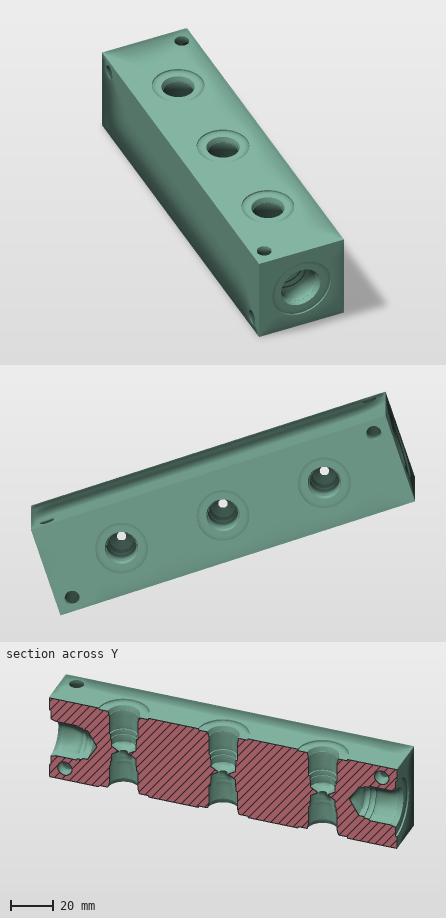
import cadquery as cq
import math

LENGTH = 177.8
SIDE = 44.5

MOUNT_DIAMETER = 7.1
MOUNT_END_DISTANCE = 8.0
MOUNT_EDGE_DISTANCE = 6.4

DRILL_POINT_ANGLE = 118.0
SPOTFACE_DEPTH = 0.78
SEAT_DEPTH = 2.5

PORT_COUNT = 3
PORT_PITCH = 50.9
SIDE_SPOTFACE = 25.0
SIDE_SEAT_TOP = 15.8
SIDE_SEAT_BOTTOM = 14.5
SIDE_THREAD = 14.2
SIDE_TAP_DRILL = 13.0
SIDE_BORE = 12.3
SIDE_THREAD_DEPTH = 13.3
SIDE_TAP_DEPTH = 16.0
PASSAGE_DIAMETER = 4.5

END_SPOTFACE = 30.5
END_SEAT_TOP = 20.6
END_SEAT_BOTTOM = 19.2
END_THREAD = 19.0
END_TAP_DRILL = 17.5
END_BORE = 15.8
END_THREAD_DEPTH = 14.2
END_TAP_DEPTH = 16.9
END_BORE_DEPTH = 19.5


def point_height(diameter):
    """Height of a drill point of the given diameter."""
    return diameter / 2 / math.tan(math.radians(DRILL_POINT_ANGLE / 2))


def port_cutter(spotface, seat_top, seat_bottom, thread, tap_drill, bore,
                thread_depth, tap_depth, bore_depth):
    """Stepped port opening at Z = 0 and reaching down to a pointed bottom."""
    seat_end = SPOTFACE_DEPTH + SEAT_DEPTH
    profile = [
        (0, 0),
        (spotface / 2, 0),
        (spotface / 2, -SPOTFACE_DEPTH),
        (seat_top / 2, -SPOTFACE_DEPTH),
        (seat_bottom / 2, -seat_end),
        (thread / 2, -seat_end),
        (thread / 2, -thread_depth),
        (tap_drill / 2, -thread_depth),
        (tap_drill / 2, -tap_depth),
        (bore / 2, -tap_depth),
        (bore / 2, -bore_depth),
        (0, -bore_depth - point_height(bore)),
    ]
    return cq.Workplane("XZ").polyline(profile).close().revolve(360, (0, 0), (0, 1))


def cut_side_ports(body):
    """Opposed ports whose drill points overlap at mid-height."""
    bore_depth = SIDE / 2 + point_height(PASSAGE_DIAMETER) - point_height(SIDE_BORE)
    cutter = port_cutter(SIDE_SPOTFACE, SIDE_SEAT_TOP, SIDE_SEAT_BOTTOM, SIDE_THREAD,
                         SIDE_TAP_DRILL, SIDE_BORE, SIDE_THREAD_DEPTH, SIDE_TAP_DEPTH,
                         bore_depth)
    upper = cutter.translate((0, 0, SIDE / 2))
    lower = upper.mirror("XY")
    for index in range(PORT_COUNT):
        x = (index - (PORT_COUNT - 1) / 2) * PORT_PITCH
        body = body.cut(upper.translate((x, 0, 0)))
        body = body.cut(lower.translate((x, 0, 0)))
    return body


def cut_end_ports(body):
    """Matching blind ports in the two ends of the bar."""
    cutter = port_cutter(END_SPOTFACE, END_SEAT_TOP, END_SEAT_BOTTOM, END_THREAD,
                         END_TAP_DRILL, END_BORE, END_THREAD_DEPTH, END_TAP_DEPTH,
                         END_BORE_DEPTH)
    right = cutter.rotate((0, 0, 0), (0, 1, 0), 90).translate((LENGTH / 2, 0, 0))
    return body.cut(right).cut(right.mirror("YZ"))


def cut_mounting_holes(body):
    """Through holes at the upper left and lower right of the Y and Z faces."""
    x = LENGTH / 2 - MOUNT_END_DISTANCE
    offset = SIDE / 2 - MOUNT_EDGE_DISTANCE
    for plane in ("XY", "XZ"):
        holes = (
            cq.Workplane(plane)
            .pushPoints([(-x, offset), (x, -offset)])
            .circle(MOUNT_DIAMETER / 2)
            .extrude(SIDE / 2, both=True)
        )
        body = body.cut(holes)
    return body


result = cq.Workplane("XY").box(LENGTH, SIDE, SIDE)
result = cut_side_ports(result)
result = cut_end_ports(result)
result = cut_mounting_holes(result)